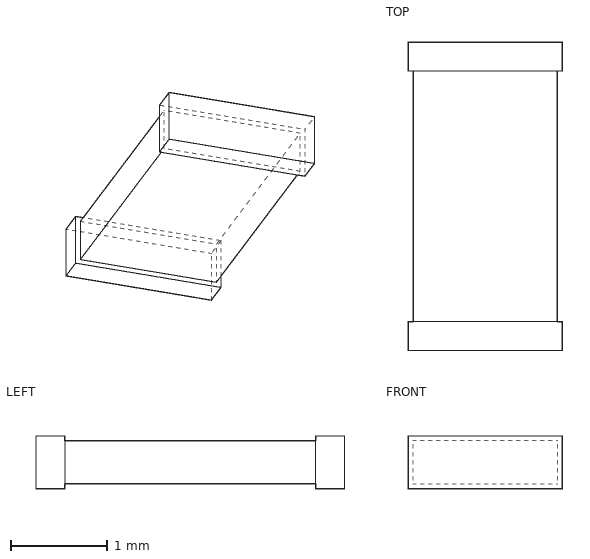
import cadquery as cq

length = 3.2
cap_width = 1.6
cap_height = 0.55
cap_length = 0.3
cap_thickness = 0.05

body_width = cap_width - 2 * cap_thickness
body_height = cap_height - 2 * cap_thickness
cap_center = (length - cap_length) / 2


def end_cap(side):
    """Cap at the +Y end (side = 1) or the -Y end (side = -1)."""
    cap = cq.Workplane("XY").box(cap_width, cap_length, cap_height)
    return cap.translate((0, side * cap_center, 0))


result = cq.Workplane("XY").box(body_width, length, body_height)
for side in (-1, 1):
    result = result.union(end_cap(side))